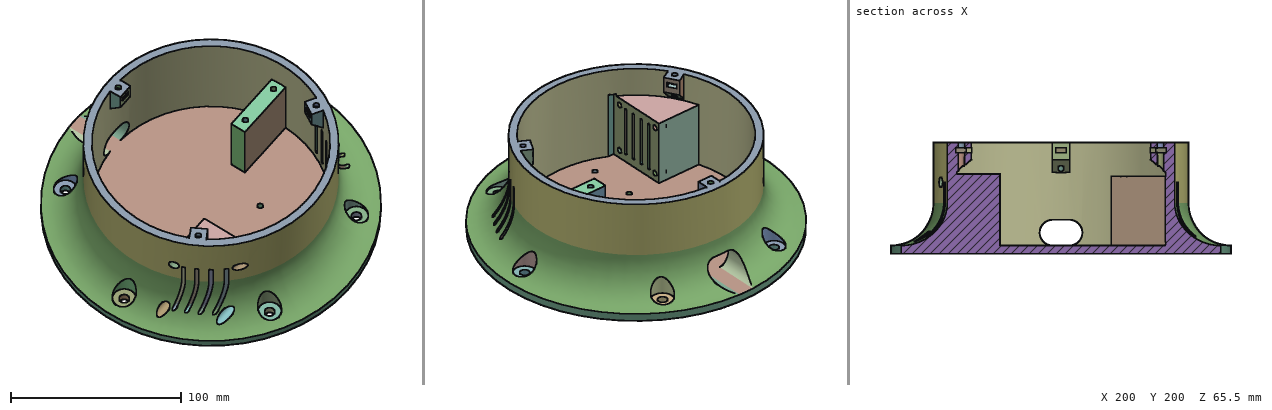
import cadquery as cq
import math

flange_diameter = 200
wall_diameter = 150
cavity_diameter = 140
height = 65.5
base_thickness = 5.0
flange_radius = flange_diameter / 2
wall_radius = wall_diameter / 2
cavity_radius = cavity_diameter / 2
flare_radius = flange_radius - wall_radius

mount_count = 6
mount_start_angle = 30
mount_circle_radius = 86
mount_hole_diameter = 6
mount_recess_diameter = 14

screw_diameter = 3.5

tab_angles = (60, 180, 300)
tab_width = 10
tab_inner_radius = 62.5
tab_inner_height = 10.2
tab_wall_height = tab_inner_height + cavity_radius - tab_inner_radius
tab_hole_radius = 67.5
nut_slot_width = 6
nut_slot_height = 2.8
nut_slot_drop = 4.5
nut_slot_depth = 8

rib_center_x = -2
rib_width = 10
rib_end_y = 29.5
rib_top = 45.5
rib_hole_ys = (36.8, 64.8)
rib_hole_depth = 16

motor_center_x = 40
motor_hole_spacing = 31.0

fan_center_x = 41.0
fan_center_z = 26.2
fan_screw_spacing = 32
fan_face_y = -35.8
fan_block_min_x = 21.5
fan_block_top = 47.0
fan_recess_diameter = 6
fan_recess_floor_y = -42
fan_pocket_max_x = 62.5
fan_pocket_max_y = -28
fan_pocket_top = 48.2
vent_count = 4
vent_spacing = 7.0
vent_width = 2
vent_height = 32

tunnel_width = 25.0
tunnel_height = 15.0
tunnel_inner_radius = 68


def make_body():
    """Flared flange and round wall, turned as one solid without the cavity."""
    flare_middle = flare_radius * math.sin(math.radians(45))
    flare_center_z = base_thickness + flare_radius
    profile = (
        cq.Workplane("XZ")
        .lineTo(flange_radius, 0)
        .lineTo(flange_radius, base_thickness)
        .threePointArc(
            (flange_radius - flare_middle, flare_center_z - flare_middle),
            (wall_radius, flare_center_z),
        )
        .lineTo(wall_radius, height)
        .lineTo(0, height)
        .close()
    )
    return profile.revolve(360, (0, 0, 0), (0, 1, 0))


def make_cavity():
    return (
        cq.Workplane("XY", origin=(0, 0, base_thickness))
        .circle(cavity_radius)
        .extrude(height - base_thickness)
    )


def box_between(x_range, y_range, z_range):
    """Box spanning the given lower and upper limits on each axis."""
    size = [high - low for low, high in (x_range, y_range, z_range)]
    corner = (x_range[0], y_range[0], z_range[0])
    return cq.Workplane("XY", origin=corner).box(*size, centered=False)


def drill_down(points, diameter, top, depth):
    """Vertical cylinders reaching down from the given top."""
    return (
        cq.Workplane("XY", origin=(0, 0, top))
        .pushPoints(points)
        .circle(diameter / 2)
        .extrude(-depth)
    )


def make_tab():
    """Lid tab on the +X side with its underside sloping down to the wall."""
    return (
        cq.Workplane("XZ", origin=(0, tab_width / 2, 0))
        .moveTo(tab_inner_radius, height)
        .lineTo(tab_inner_radius, height - tab_inner_height)
        .lineTo(cavity_radius, height - tab_wall_height)
        .lineTo(wall_radius, height - tab_wall_height)
        .lineTo(wall_radius, height)
        .close()
        .extrude(tab_width)
    )


def make_tab_cuts():
    """Screw hole and nut slot of the tab on the +X side."""
    slot_middle = height - nut_slot_drop
    nut_slot = box_between(
        (tab_inner_radius, tab_inner_radius + nut_slot_depth),
        (-nut_slot_width / 2, nut_slot_width / 2),
        (slot_middle - nut_slot_height / 2, slot_middle + nut_slot_height / 2),
    )
    hole = drill_down([(tab_hole_radius, 0)], screw_diameter, height, tab_wall_height)
    return nut_slot.union(hole)


def make_rib():
    rib = box_between(
        (rib_center_x - rib_width / 2, rib_center_x + rib_width / 2),
        (rib_end_y, cavity_radius),
        (base_thickness, rib_top),
    )
    holes = [(rib_center_x, y) for y in rib_hole_ys]
    return rib.cut(drill_down(holes, screw_diameter, rib_top, rib_hole_depth))


def make_fan_block():
    return box_between(
        (fan_block_min_x, cavity_radius),
        (-cavity_radius, fan_face_y),
        (base_thickness, fan_block_top),
    )


def make_fan_pocket():
    """Clearance for the fan corner where it meets the round wall."""
    return box_between(
        (fan_center_x, fan_pocket_max_x),
        (fan_face_y, fan_pocket_max_y),
        (base_thickness, fan_pocket_top),
    )


def make_fan_screw_cuts():
    """Screw holes through the fan block, with recesses from the outside."""
    plane = cq.Workplane("XZ", origin=(fan_center_x, fan_face_y, fan_center_z))
    holes = (
        plane.rect(fan_screw_spacing, fan_screw_spacing, forConstruction=True)
        .vertices()
        .circle(screw_diameter / 2)
        .extrude(flange_radius)
    )
    recesses = (
        plane.workplane(offset=fan_face_y - fan_recess_floor_y)
        .rect(fan_screw_spacing, fan_screw_spacing, forConstruction=True)
        .vertices()
        .circle(fan_recess_diameter / 2)
        .extrude(flange_radius)
    )
    return holes.union(recesses)


def make_vents():
    """Upright slots running through both sides of the wall."""
    return (
        cq.Workplane("XZ", origin=(fan_center_x, 0, fan_center_z))
        .rarray(vent_spacing, 2, vent_count, 1)
        .slot2D(vent_height, vent_width, 90)
        .extrude(flange_radius, both=True)
    )


def make_mount_cuts():
    """Flange holes with recesses that clear the flare above them."""
    holes = (
        cq.Workplane("XY")
        .polarArray(mount_circle_radius, mount_start_angle, 360, mount_count)
        .circle(mount_hole_diameter / 2)
        .extrude(base_thickness)
    )
    recesses = (
        cq.Workplane("XY", origin=(0, 0, base_thickness))
        .polarArray(mount_circle_radius, mount_start_angle, 360, mount_count)
        .circle(mount_recess_diameter / 2)
        .extrude(flare_radius)
    )
    return holes.union(recesses)


def make_motor_holes():
    return (
        cq.Workplane("XY", origin=(motor_center_x, 0, 0))
        .rect(motor_hole_spacing, motor_hole_spacing, forConstruction=True)
        .vertices()
        .circle(screw_diameter / 2)
        .extrude(base_thickness)
    )


def make_cable_tunnel():
    """Flat oval passage on the -X side, level with the cavity floor."""
    middle_z = base_thickness + tunnel_height / 2
    return (
        cq.Workplane("YZ", origin=(-flange_radius, 0, middle_z))
        .slot2D(tunnel_width, tunnel_height)
        .extrude(flange_radius - tunnel_inner_radius)
    )


body = make_body()
fittings = make_rib().union(make_fan_block())
for angle in tab_angles:
    fittings = fittings.union(make_tab().rotate((0, 0, 0), (0, 0, 1), angle))

result = body.cut(make_cavity()).union(fittings.intersect(body))
for angle in tab_angles:
    result = result.cut(make_tab_cuts().rotate((0, 0, 0), (0, 0, 1), angle))
result = (
    result.cut(make_fan_pocket())
    .cut(make_fan_screw_cuts())
    .cut(make_vents())
    .cut(make_mount_cuts())
    .cut(make_motor_holes())
    .cut(make_cable_tunnel())
)